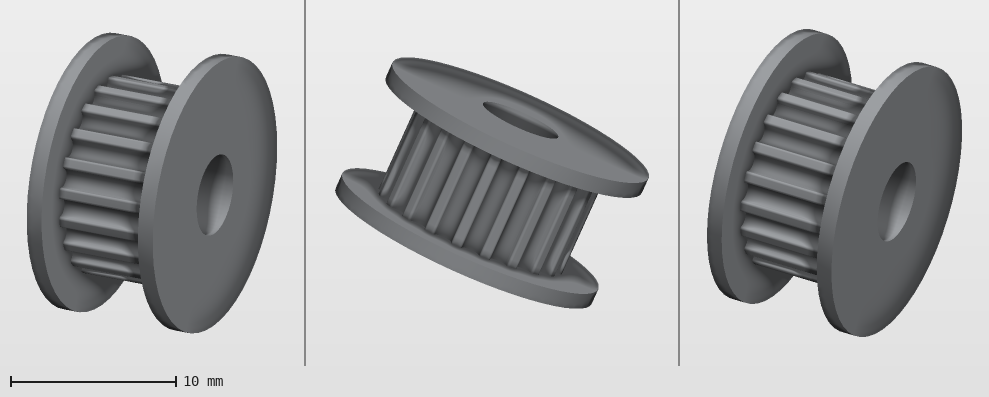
import cadquery as cq
import math

overall_width = 8.5
flange_diameter = 17.0
flange_thickness = 1.0
bore_diameter = 5.0

tooth_count = 20
tooth_tip_radius = 12.22 / 2
groove_depth = 0.75
root_arc_radius = 0.56
flank_arc_radius = 1.0
flank_centre_offset = 0.4
tip_round_radius = 0.15

drum_width = overall_width - 2 * flange_thickness
tooth_pitch_angle = 2 * math.pi / tooth_count


def point_towards(start, target, distance):
    """Point at a distance from start on the line through target."""
    span = math.dist(start, target)
    return tuple(s + (t - s) * distance / span for s, t in zip(start, target))


def arc_middle(centre, radius, first, last):
    """Middle of the short arc between two points on a circle."""
    chord_middle = tuple((a + b) / 2 for a, b in zip(first, last))
    return point_towards(centre, chord_middle, radius)


def groove_half():
    """Points from the land down to the groove bottom, for a groove centred on angle zero.

    Each point is (radial, sideways). The land end comes first, then a middle and an
    end point for each of the tip round, the flank arc and half of the root arc.
    """
    axis = (0.0, 0.0)
    root_bottom = (tooth_tip_radius - groove_depth, 0.0)
    root_centre = (root_bottom[0] + root_arc_radius, 0.0)

    centre_gap = flank_arc_radius - root_arc_radius
    flank_centre = (
        root_centre[0] + math.sqrt(centre_gap**2 - flank_centre_offset**2),
        -flank_centre_offset,
    )
    flank_end = point_towards(flank_centre, root_centre, flank_arc_radius)

    tip_centre_radius = tooth_tip_radius - tip_round_radius
    flank_to_tip = flank_arc_radius + tip_round_radius
    flank_distance = math.hypot(*flank_centre)
    cosine = (tip_centre_radius**2 + flank_distance**2 - flank_to_tip**2) / (
        2 * tip_centre_radius * flank_distance
    )
    tip_angle = math.atan2(flank_centre[1], flank_centre[0]) + math.acos(cosine)
    tip_centre = (tip_centre_radius * math.cos(tip_angle), tip_centre_radius * math.sin(tip_angle))
    land_end = point_towards(axis, tip_centre, tooth_tip_radius)
    flank_start = point_towards(flank_centre, tip_centre, flank_arc_radius)

    return [
        land_end,
        arc_middle(tip_centre, tip_round_radius, land_end, flank_start),
        flank_start,
        arc_middle(flank_centre, flank_arc_radius, flank_start, flank_end),
        flank_end,
        arc_middle(root_centre, root_arc_radius, flank_end, root_bottom),
        root_bottom,
    ]


def turned(point, angle):
    """Point turned about the pulley axis."""
    radial, sideways = point
    return (
        radial * math.cos(angle) - sideways * math.sin(angle),
        radial * math.sin(angle) + sideways * math.cos(angle),
    )


def toothed_drum():
    """Drum with a groove centred on each of the Y and Z directions."""
    upper_half = groove_half()
    lower_half = [(radial, -sideways) for radial, sideways in upper_half]
    groove = lower_half + upper_half[-2::-1]

    profile = cq.Workplane("YZ").moveTo(*groove[0])
    for tooth in range(tooth_count):
        angle = tooth * tooth_pitch_angle
        path = [turned(point, angle) for point in groove]
        for middle, end in zip(path[1::2], path[2::2]):
            profile = profile.threePointArc(middle, end)
        land_middle = turned((tooth_tip_radius, 0.0), angle + tooth_pitch_angle / 2)
        next_groove_start = turned(groove[0], angle + tooth_pitch_angle)
        profile = profile.threePointArc(land_middle, next_groove_start)
    return profile.close().extrude(drum_width / 2, both=True)


def flange(inner_face_x, thickness):
    """Flat disc growing along X from its inner face."""
    plane = cq.Workplane("YZ").workplane(offset=inner_face_x)
    return plane.circle(flange_diameter / 2).extrude(thickness)


def bore():
    """Through hole along the axis."""
    return cq.Workplane("YZ").circle(bore_diameter / 2).extrude(overall_width / 2, both=True)


pulley = toothed_drum()
for side in (-1, 1):
    pulley = pulley.union(flange(side * drum_width / 2, side * flange_thickness))

result = pulley.cut(bore())